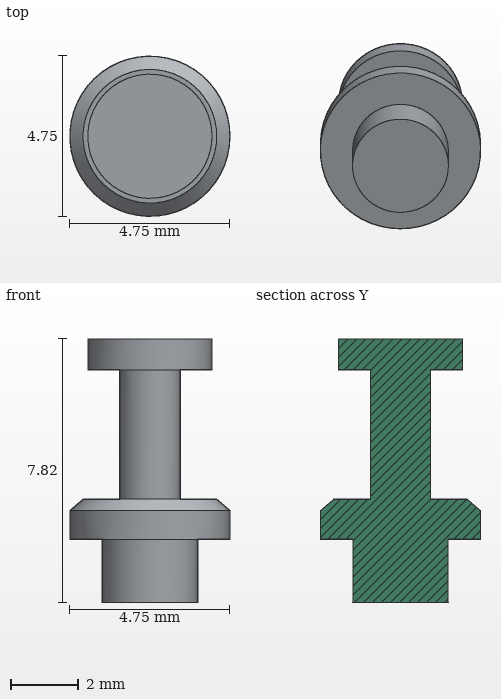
import cadquery as cq

base_diameter = 2.84
flange_diameter = 4.75
flange_top_diameter = 3.96
stem_diameter = 1.8
head_diameter = 3.68

total_height = 7.82
base_height = 1.88
flange_height = 1.19
bevel_height = 0.34
head_height = 0.92
stem_height = total_height - base_height - flange_height - head_height


def disc(diameter, height, bottom_z):
    """Plain cylinder on the Z axis, standing on the given level."""
    return cq.Workplane("XY").workplane(offset=bottom_z).circle(diameter / 2).extrude(height)


def bevelled_flange(bottom_z):
    """Flange with a conical bevel around its upper rim."""
    bevel_width = (flange_diameter - flange_top_diameter) / 2
    flange = disc(flange_diameter, flange_height, bottom_z)
    return flange.faces(">Z").edges().chamfer(bevel_height, bevel_width)


flange_bottom = base_height
stem_bottom = flange_bottom + flange_height
head_bottom = stem_bottom + stem_height

base = disc(base_diameter, base_height, 0)
flange = bevelled_flange(flange_bottom)
stem = disc(stem_diameter, stem_height, stem_bottom)
head = disc(head_diameter, head_height, head_bottom)

result = base.union(flange).union(stem).union(head)